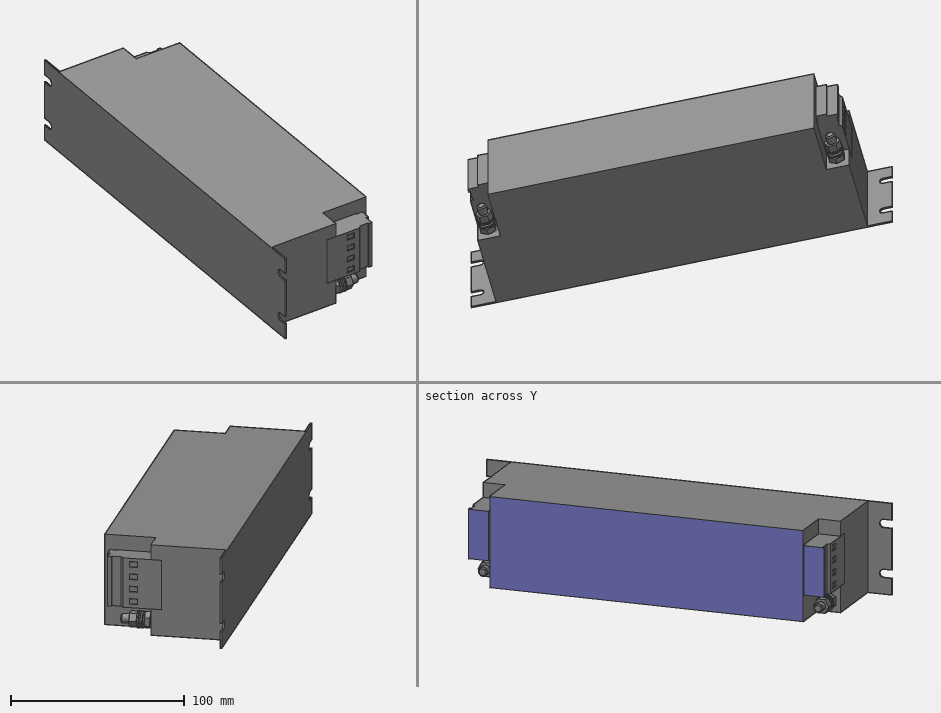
import cadquery as cq


plate_length = 250.0
plate_height = 55.0
plate_thickness = 1.0
slot_width = 5.0
slot_depth = 7.5
slot_spacing = 30.0

housing_length = 220.5
housing_back = 75.0
notch_length = 13.5
notch_depth = 30.0
end_x = -housing_length / 2
wall_x = end_x + notch_length
ledge_y = housing_back - notch_depth

block_proud = 0.12
block_top = 18.5
block_height = 30.0
block_back = housing_back - 3.0
block_front = housing_back - 36.2
crown_length = 6.8
crown_gap = 0.5
lip_back = housing_back - 4.5
lip_front = housing_back - 6.8
lip_inset = 0.5
waist_inset = 1.5
waist_front = housing_back - 12.2
shoulder_y = housing_back - 13.8

opening_count = 4
opening_width = 4.8
opening_height = 3.2
opening_depth = 0.8
opening_y = housing_back - 19.8
opening_pitch = block_height / opening_count

stud_x = end_x + notch_length / 2
stud_z = -20.5
stud_diameter = 5.5
stud_chamfer = 0.8
stud_tip = housing_back - 11.2
upper_nut_flats = 8.2
upper_nut_back = housing_back - 16.5
upper_nut_thickness = 4.5
washer_diameter = 10.0
washer_thickness = 1.0
washer_backs = (housing_back - 21.0, housing_back - 23.2)
lower_nut_corners = 10.0
lower_nut_back = housing_back - 25.5
lower_nut_thickness = 3.2
corners_per_flats = 2 / 3 ** 0.5


def make_plate():
    """Flat plate with two open round-ended slots at each end."""
    plate = cq.Workplane("XY").box(
        plate_length, plate_thickness, plate_height, centered=(True, False, True)
    )
    slots = (
        cq.Workplane("XZ")
        .pushPoints(
            [
                (side * plate_length / 2, level * slot_spacing / 2)
                for side in (-1, 1)
                for level in (-1, 1)
            ]
        )
        .slot2D(2 * slot_depth, slot_width)
        .extrude(-plate_thickness)
    )
    return plate.cut(slots)


def make_housing():
    """T-shaped block, narrowed at the back by the two corner notches."""
    base = cq.Workplane("XY").box(
        housing_length, ledge_y, plate_height, centered=(True, False, True)
    )
    rear = cq.Workplane("XY").box(
        housing_length - 2 * notch_length, housing_back, plate_height, centered=(True, False, True)
    )
    return base.union(rear)


def make_terminal_block():
    """Stepped terminal block with wire openings; its crown stands clear of the housing wall."""
    outer_x = end_x - block_proud
    block = (
        cq.Workplane("XY", origin=(0, 0, block_top))
        .polyline(
            [
                (wall_x, block_front),
                (wall_x, lip_front),
                (wall_x - crown_gap, lip_front),
                (wall_x - crown_gap, block_back),
                (wall_x - crown_length, block_back),
                (wall_x - crown_length, lip_back),
                (end_x + lip_inset, lip_back),
                (end_x + lip_inset, lip_front),
                (end_x + waist_inset, lip_front),
                (end_x + waist_inset, waist_front),
                (outer_x, shoulder_y),
                (outer_x, block_front),
            ]
        )
        .close()
        .extrude(-block_height)
    )
    for index in range(opening_count):
        opening_z = block_top - (index + 0.5) * opening_pitch
        opening = cq.Workplane("XY", origin=(outer_x, opening_y, opening_z)).box(
            opening_depth, opening_width, opening_height, centered=(False, True, True)
        )
        block = block.cut(opening)
    return block


def stud_plane(y):
    """Workplane across the stud axis; extruding goes toward the plate."""
    return cq.Workplane("XZ", origin=(stud_x, y, stud_z))


def make_earth_stud():
    """Threaded stud with a nut, two washers and a second nut."""
    stud = stud_plane(stud_tip).circle(stud_diameter / 2).extrude(stud_tip - ledge_y)
    stud = stud.faces(">Y").chamfer(stud_chamfer)
    upper_nut = (
        stud_plane(upper_nut_back)
        .polygon(6, upper_nut_flats * corners_per_flats)
        .extrude(upper_nut_thickness)
    )
    lower_nut = (
        stud_plane(lower_nut_back)
        .transformed(rotate=(0, 0, 30))
        .polygon(6, lower_nut_corners)
        .extrude(lower_nut_thickness)
    )
    stud = stud.union(upper_nut).union(lower_nut)
    for washer_back in washer_backs:
        washer = stud_plane(washer_back).circle(washer_diameter / 2).extrude(washer_thickness)
        stud = stud.union(washer)
    return stud


housing = make_plate().union(make_housing())
end_fittings = (make_terminal_block(), make_earth_stud())

result = housing
for fitting in end_fittings:
    result = result.union(fitting).union(fitting.mirror("YZ"))